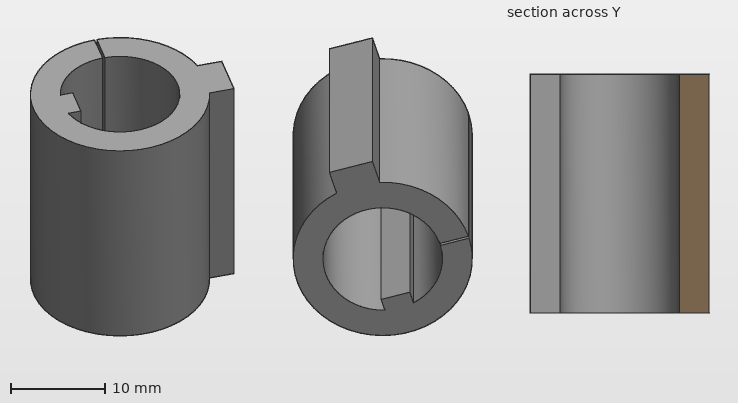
import cadquery as cq

length = 25.4
outer_diameter = 19.05
bore_diameter = 12.7
outer_radius = outer_diameter / 2
bore_radius = bore_diameter / 2
middle_radius = (outer_radius + bore_radius) / 2

outer_key_width = 4.78
outer_key_tip = 11.9
inner_key_width = 3.18
inner_key_tip = 4.78
slit_width = 0.25


def radial_key(width, y_start, y_end):
    """Full-length bar centred on X, spanning two Y positions."""
    return (
        cq.Workplane("XY")
        .center(0, (y_start + y_end) / 2)
        .rect(width, abs(y_end - y_start))
        .extrude(length)
    )


sleeve = cq.Workplane("XY").circle(outer_radius).circle(bore_radius).extrude(length)

outer_key = radial_key(outer_key_width, middle_radius, outer_key_tip)
inner_key = radial_key(inner_key_width, -middle_radius, -inner_key_tip)

slit = cq.Workplane("XY").center(-outer_radius / 2, 0).rect(outer_radius, slit_width).extrude(length)

result = sleeve.union(outer_key).union(inner_key).cut(slit)